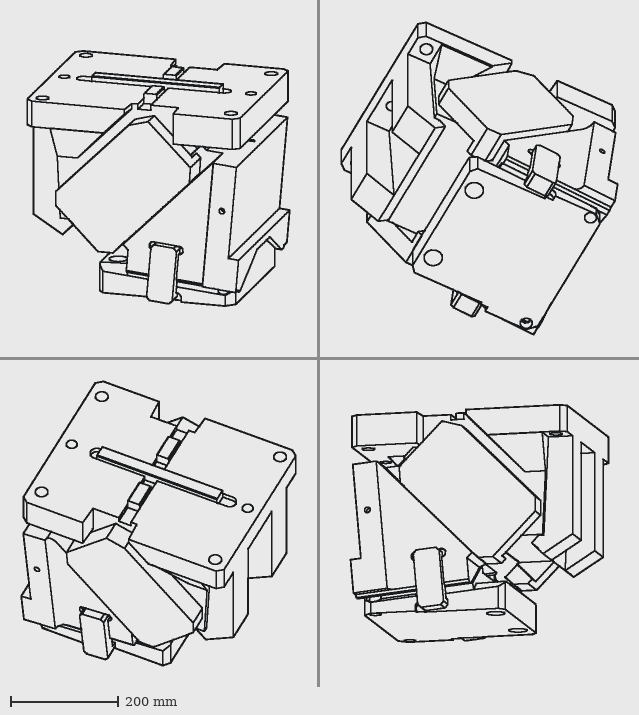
import cadquery as cq
import math


HALF_WIDTH = 165.0
OVERALL_LENGTH = 415.13
MARGIN = 50.0

GUIDE_RISE = -26.0
GIB_LOWER_RISE = -78.5
RAIL_RISE = -33.0
LEDGE_RISE = -80.0
GUIDE_END_REACH = 620.0
NECK_START_REACH = 290.0
NECK_HALF_WIDTH = 99.0
GIB_INNER_Y = 125.0

TILT = math.radians(5.0)
HEEL_HEIGHT = 64.0
CORNER_X = OVERALL_LENGTH - HEEL_HEIGHT * math.sin(TILT)
CORNER_Z = 35.6
U_DIRECTION = (math.cos(TILT), 0, -math.sin(TILT))
W_DIRECTION = (math.sin(TILT), 0, math.cos(TILT))
SECTION_PLANE = cq.Plane((CORNER_X, 0, CORNER_Z), xDir=(0, 1, 0), normal=U_DIRECTION)
PLAN_PLANE = cq.Plane((CORNER_X, 0, CORNER_Z), xDir=U_DIRECTION, normal=W_DIRECTION)

SADDLE_FOOT = (133.0, -5.0)
SADDLE_SLOPE = math.tan(math.radians(30.0))


def on_saddle(y):
    """Point of the saddle's cross-section at distance y from the middle."""
    return y, SADDLE_FOOT[1] + (SADDLE_FOOT[0] - y) * SADDLE_SLOPE


def tilted(u, w):
    """X and Z of a point given in the tilted frame."""
    x = CORNER_X + u * math.cos(TILT) + w * math.sin(TILT)
    z = CORNER_Z - u * math.sin(TILT) + w * math.cos(TILT)
    return x, z


def on_guide(rise, reach):
    """X and Z of a point given by its place on the 45 degree guide."""
    return (reach - rise) / 2, (reach + rise) / 2


def both_sides(body):
    return body.union(body.mirror("XZ"))


def centred_prism(points, half_width):
    """Side outline extruded across the middle of the unit."""
    return cq.Workplane("XZ").polyline(points).close().extrude(half_width, both=True)


def outer_prisms(points, inner_y, outer_y):
    """Side outline extruded between two distances on both sides of the middle."""
    front = cq.Workplane("XZ", origin=(0, -inner_y, 0)).polyline(points).close()
    return both_sides(front.extrude(outer_y - inner_y))


def symmetric_section(half_points, start_u, end_u):
    """Cross-section given by its +Y half, extruded along u."""
    mirrored = [(-y, w) for y, w in reversed(half_points)]
    plane = cq.Workplane(SECTION_PLANE).workplane(offset=start_u)
    return plane.polyline(half_points + mirrored).close().extrude(end_u - start_u)


def vertical_holes(places, diameter, top):
    return cq.Workplane("XY").pushPoints(places).circle(diameter / 2).extrude(top)


PLATE_TOP = 374.0
PLATE_BOTTOM = 324.0
THICK_PLATE_BOTTOM = 315.0
PLATE_LENGTH = 415.0
PLATE_CHAMFER_X = 12.0
PLATE_CHAMFER_Y = 10.0

WEB_BOTTOM = 137.5
WEB_TOP_X = 46.5
HOOK_TIP = (57.0, 102.5)
HOOK_NOSE = (78.7, 124.0)
HOOK_ROOT_X = 66.0
COLUMN_INNER_Y = 51.0
COLUMN_OUTER_Y = 115.0

GUSSET_TOP_Y = 162.0
GUSSET_LOW_Z = 258.0
NOTCH_RISE = 169.0
NOTCH_LEFT_X = 195.0
NOTCH_RIGHT_X = 285.5
NOTCH_DRAFT = 3.3

GIB_OUTLINE = [
    (141.0, 91.5), (59.2, 174.0), (59.2, 202.0), (201.0, 343.8),
    (238.7, 354.3), (321.3, 271.7), (319.0, 319.0 + GIB_LOWER_RISE),
    (91.5 - GIB_LOWER_RISE, 91.5),
]

RIDGE_START_X = 334.0
RIDGE_DEPTH = 19.0

KEY_HEIGHT = 10.0
KEYWAY_DEPTH = 10.0
KEY_WIDTH = 25.0
KEY_CHAMFER = 1.5
LONG_SLOT_START = 50.0
LONG_SLOT_END = 350.0
LONG_KEY_START = 83.0
LONG_KEY_END = 331.5
CROSS_SLOT_X = 219.5
CROSS_KEY_LENGTH = 50.0
CROSS_KEY_Y = 62.5

BOLT_DIAMETER = 23.5
DOWEL_DIAMETER = 20.0
LEFT_HOLE_X = 25.5
LEFT_BOLT_Y = 140.0
RIGHT_HOLE_X = 389.5
RIGHT_BOLT_Y = 130.0


def top_plate():
    step_x = NOTCH_RIGHT_X
    outline = [
        (0, PLATE_TOP), (PLATE_LENGTH, PLATE_TOP), (PLATE_LENGTH, THICK_PLATE_BOTTOM),
        (step_x, THICK_PLATE_BOTTOM), (step_x, PLATE_BOTTOM), (0, PLATE_BOTTOM),
    ]
    half_cut = HALF_WIDTH - PLATE_CHAMFER_Y
    corner = PLATE_LENGTH - PLATE_CHAMFER_X
    plan = [
        (PLATE_CHAMFER_X, -HALF_WIDTH), (corner, -HALF_WIDTH),
        (PLATE_LENGTH, -half_cut), (PLATE_LENGTH, half_cut),
        (corner, HALF_WIDTH), (PLATE_CHAMFER_X, HALF_WIDTH), (0, half_cut), (0, -half_cut),
    ]
    footprint = cq.Workplane("XY").polyline(plan).close().extrude(PLATE_TOP)
    return centred_prism(outline, HALF_WIDTH).intersect(footprint)


def web_back_x(z):
    """X of the sloping back face of the web at height z."""
    slope = (HOOK_TIP[0] - WEB_TOP_X) / (PLATE_BOTTOM - HOOK_TIP[1])
    return WEB_TOP_X + slope * (PLATE_BOTTOM - z)


def web():
    """Central web with the guide face, its hook and the two columns."""
    core = centred_prism([
        (WEB_TOP_X, PLATE_BOTTOM), (web_back_x(WEB_BOTTOM), WEB_BOTTOM),
        (WEB_BOTTOM - GUIDE_RISE, WEB_BOTTOM), on_guide(GUIDE_RISE, GUIDE_END_REACH),
        (GUIDE_END_REACH - THICK_PLATE_BOTTOM, THICK_PLATE_BOTTOM),
        (NOTCH_RIGHT_X, PLATE_BOTTOM),
    ], GIB_INNER_Y)
    hook = centred_prism([
        HOOK_TIP, HOOK_NOSE, (HOOK_ROOT_X, WEB_BOTTOM),
        (HOOK_ROOT_X, PLATE_BOTTOM), (WEB_TOP_X, PLATE_BOTTOM),
    ], COLUMN_OUTER_Y)
    columns = outer_prisms([
        (0, PLATE_BOTTOM), (0, WEB_BOTTOM), HOOK_TIP, (WEB_TOP_X, PLATE_BOTTOM),
    ], COLUMN_INNER_Y, COLUMN_OUTER_Y)
    return core.union(hook).union(columns)


def gussets():
    """Slanted blocks widening the web towards the plate."""
    side = outer_prisms([
        (web_back_x(GUSSET_LOW_Z), GUSSET_LOW_Z), (WEB_TOP_X, PLATE_BOTTOM),
        (PLATE_BOTTOM - NOTCH_RISE, PLATE_BOTTOM), (GUSSET_LOW_Z - NOTCH_RISE, GUSSET_LOW_Z),
    ], GIB_INNER_Y, GUSSET_TOP_Y)
    slope = [
        (-GIB_INNER_Y, GUSSET_LOW_Z), (-GUSSET_TOP_Y, PLATE_BOTTOM),
        (GUSSET_TOP_Y, PLATE_BOTTOM), (GIB_INNER_Y, GUSSET_LOW_Z),
    ]
    return side.intersect(cq.Workplane("YZ").polyline(slope).close().extrude(PLATE_LENGTH))


def side_notches():
    """Drafted openings that leave room around the gib plates."""
    top = PLATE_TOP + MARGIN
    outline = [
        (NOTCH_LEFT_X, top), (NOTCH_LEFT_X, NOTCH_LEFT_X + NOTCH_RISE), (-NOTCH_RISE, 0),
        (NOTCH_RIGHT_X, 0), (NOTCH_RIGHT_X, top),
    ]
    front = cq.Workplane("XZ", origin=(0, -GIB_INNER_Y, 0)).polyline(outline).close()
    return both_sides(front.extrude(HALF_WIDTH - GIB_INNER_Y, taper=-NOTCH_DRAFT))


def gib_plates():
    """Side plates with an inner rail along their lower edge."""
    plates = outer_prisms(GIB_OUTLINE, GIB_INNER_Y, HALF_WIDTH)
    rail_band = [
        on_guide(RAIL_RISE, 0), on_guide(RAIL_RISE, GUIDE_END_REACH),
        on_guide(GIB_LOWER_RISE, GUIDE_END_REACH), on_guide(GIB_LOWER_RISE, 0),
    ]
    rails = outer_prisms(GIB_OUTLINE, NECK_HALF_WIDTH, GIB_INNER_Y)
    return plates.union(rails.intersect(centred_prism(rail_band, GIB_INNER_Y)))


def underside_ridge():
    return centred_prism([
        (RIDGE_START_X, THICK_PLATE_BOTTOM),
        (RIDGE_START_X + 2 * RIDGE_DEPTH, THICK_PLATE_BOTTOM),
        (RIDGE_START_X + RIDGE_DEPTH, THICK_PLATE_BOTTOM - RIDGE_DEPTH),
    ], COLUMN_INNER_Y)


def keyways():
    floor = cq.Workplane("XY", origin=(0, 0, PLATE_TOP - KEYWAY_DEPTH))
    slot_length = LONG_SLOT_END - LONG_SLOT_START
    slot_middle = (LONG_SLOT_START + LONG_SLOT_END) / 2
    long_slot = floor.center(slot_middle, 0).slot2D(slot_length, KEY_WIDTH).extrude(KEYWAY_DEPTH)
    cross_slot = floor.center(CROSS_SLOT_X, 0).rect(KEY_WIDTH, 2 * HALF_WIDTH).extrude(KEYWAY_DEPTH)
    return long_slot.union(cross_slot)


def keys():
    height = KEYWAY_DEPTH + KEY_HEIGHT
    floor = cq.Workplane("XY", origin=(0, 0, PLATE_TOP - KEYWAY_DEPTH))
    long_key = floor.center((LONG_KEY_START + LONG_KEY_END) / 2, 0)
    long_key = long_key.rect(LONG_KEY_END - LONG_KEY_START, KEY_WIDTH).extrude(height)
    long_key = long_key.faces(">Z").edges("|X").chamfer(KEY_CHAMFER)
    cross_key = floor.center(CROSS_SLOT_X, -CROSS_KEY_Y).rect(KEY_WIDTH, CROSS_KEY_LENGTH).extrude(height)
    cross_key = cross_key.faces(">Z").edges("|Y").chamfer(KEY_CHAMFER)
    return long_key.union(both_sides(cross_key))


def holder_holes():
    bolts = [
        (LEFT_HOLE_X, -LEFT_BOLT_Y), (LEFT_HOLE_X, LEFT_BOLT_Y),
        (RIGHT_HOLE_X, -RIGHT_BOLT_Y), (RIGHT_HOLE_X, RIGHT_BOLT_Y),
    ]
    dowels = [(LEFT_HOLE_X, 0), (RIGHT_HOLE_X, 0)]
    bolt_holes = vertical_holes(bolts, BOLT_DIAMETER, PLATE_TOP)
    return bolt_holes.union(vertical_holes(dowels, DOWEL_DIAMETER, PLATE_TOP))


def make_holder():
    body = top_plate().union(web()).union(gussets())
    body = body.cut(side_notches()).union(gib_plates()).union(underside_ridge())
    return body.cut(holder_holes()).cut(keyways()).union(keys())


SLIDER_TOP = 244.0
SLIDER_START = -219.0
FACE_U = -20.0
CHEEK_HALF_WIDTH = 149.0
CHEEK_FILLET = 16.0
CHEEK_FILLET_START = -81.5
SOLE_DEPTH = 5.0
CEILING_HALF_WIDTH = 41.0

STRAP_START = -171.0
STRAP_WIDTH = 50.0
STRAP_BOTTOM = -45.0
STRAP_TOP = 65.0
STRAP_CHAMFER = 6.0
RECESS_RADIUS = 8.0
STRAP_INNER_Y = 142.0
STRAP_END = STRAP_START + STRAP_WIDTH
TOE_INNER_Y = 132.0
TOE_TOP = -29.0

SIDE_HOLE_X = 382.5
SIDE_HOLE_Z = 192.5
TOP_HOLE_U = -40.0
THREAD_DIAMETER = 10.5
THREAD_DEPTH = 15.0


def tilted_bar(start_u, end_u, bottom, top, inner_y, outer_y):
    corners = [(start_u, bottom), (end_u, bottom), (end_u, top), (start_u, top)]
    return outer_prisms([tilted(u, w) for u, w in corners], inner_y, outer_y)


def slider_block():
    """Wedge under the ledge, wider at the mounting face."""
    start_x, start_z = tilted(SLIDER_START, 0)
    start_height = (NECK_START_REACH - start_x - start_z) / (math.cos(TILT) + math.sin(TILT))
    top_x, top_z = tilted(0, SLIDER_TOP)
    ledge_u = (top_z - top_x - LEDGE_RISE) / (math.cos(TILT) + math.sin(TILT))
    profile = [
        tilted(SLIDER_START, 0), tilted(0, 0), tilted(0, HEEL_HEIGHT),
        tilted(FACE_U, HEEL_HEIGHT), tilted(FACE_U, SLIDER_TOP), tilted(ledge_u, SLIDER_TOP),
        on_guide(LEDGE_RISE, NECK_START_REACH), tilted(SLIDER_START, start_height),
    ]
    fillet_end = CHEEK_FILLET_START + CHEEK_FILLET
    offset = CHEEK_FILLET * math.sqrt(0.5)
    arc_middle = (CHEEK_FILLET_START + offset, HALF_WIDTH - offset)
    far_u = SLIDER_START - MARGIN
    plan = (
        cq.Workplane(PLAN_PLANE)
        .moveTo(far_u, CHEEK_HALF_WIDTH)
        .lineTo(CHEEK_FILLET_START, CHEEK_HALF_WIDTH)
        .threePointArc(arc_middle, (fillet_end, HALF_WIDTH))
        .lineTo(0, HALF_WIDTH)
        .lineTo(0, -HALF_WIDTH)
        .lineTo(fillet_end, -HALF_WIDTH)
        .threePointArc((arc_middle[0], -arc_middle[1]), (CHEEK_FILLET_START, -CHEEK_HALF_WIDTH))
        .lineTo(far_u, -CHEEK_HALF_WIDTH)
        .close()
        .extrude(SLIDER_TOP)
    )
    return centred_prism(profile, HALF_WIDTH).intersect(plan)


def slider_neck():
    """Raised middle between the gib rails, up to the guide face."""
    top_x, top_z = tilted(0, SLIDER_TOP)
    end_u = (GUIDE_END_REACH - top_x - top_z) / (math.cos(TILT) - math.sin(TILT))
    return centred_prism([
        on_guide(LEDGE_RISE, NECK_START_REACH), on_guide(GUIDE_RISE, NECK_START_REACH),
        on_guide(GUIDE_RISE, GUIDE_END_REACH), tilted(end_u, SLIDER_TOP),
        tilted(FACE_U, SLIDER_TOP),
    ], NECK_HALF_WIDTH)


def slider_sole():
    half = [(CHEEK_HALF_WIDTH - SOLE_DEPTH, -SOLE_DEPTH), (CHEEK_HALF_WIDTH, 0)]
    return symmetric_section(half, SLIDER_START, 0)


def strap_recesses():
    """Round reliefs beside the upper corners of the straps."""
    centre_w = STRAP_TOP - RECESS_RADIUS
    centres = [tilted(STRAP_START, centre_w), tilted(STRAP_END, centre_w)]
    front = cq.Workplane("XZ", origin=(0, -STRAP_INNER_Y, 0)).pushPoints(centres)
    return both_sides(front.circle(RECESS_RADIUS).extrude(HALF_WIDTH - STRAP_INNER_Y))


def straps():
    """Return straps, each with a toe that reaches into a pocket of the driver."""
    bars = tilted_bar(STRAP_START, STRAP_END, STRAP_BOTTOM, STRAP_TOP, TOE_INNER_Y, HALF_WIDTH)
    bars = bars.edges("|Y").chamfer(STRAP_CHAMFER)
    above_toes = tilted_bar(STRAP_START, STRAP_END, TOE_TOP, STRAP_TOP, TOE_INNER_Y, STRAP_INNER_Y)
    return bars.cut(above_toes)


def threaded_holes():
    """Blind holes in both sides and in the sloping top."""
    front = cq.Workplane("XZ", origin=(SIDE_HOLE_X, THREAD_DEPTH - HALF_WIDTH, SIDE_HOLE_Z))
    side_holes = both_sides(front.circle(THREAD_DIAMETER / 2).extrude(THREAD_DEPTH))
    top = cq.Workplane(PLAN_PLANE).workplane(offset=SLIDER_TOP - THREAD_DEPTH).center(TOP_HOLE_U, 0)
    return side_holes.union(top.circle(THREAD_DIAMETER / 2).extrude(THREAD_DEPTH))


def saddle_groove():
    """Roof-shaped channel that rides on the driver."""
    half = [(SADDLE_FOOT[0], -MARGIN), SADDLE_FOOT, on_saddle(CEILING_HALF_WIDTH)]
    return symmetric_section(half, SLIDER_START - MARGIN, MARGIN)


def make_slider():
    body = slider_block().union(slider_neck()).union(slider_sole()).cut(saddle_groove())
    return body.cut(strap_recesses()).cut(threaded_holes()).union(straps())


DRIVER_START_X = 129.6
DRIVER_END_X = 398.0
PAD_TOP = 54.5
DRIVER_HALF_WIDTH = 142.0
PAD_HALF_WIDTH = 128.0
SIDE_TOP = -17.0
PAD_SHOULDER = (100.0, 2.6)
BASE_SHOULDER = (110.0, 1.5)
SADDLE_START = -222.0
SADDLE_UNDERCUT = (PAD_HALF_WIDTH, SIDE_TOP)
RIDGE_HALF_WIDTH = 46.0
GROOVE_FLOOR = (41.0, 32.0)
WIDE_START = -125.0
START_CHAMFER_X = 10.0
START_CHAMFER_Y = 12.0
END_CHAMFER = 16.0

TOE_POCKET_END = -110.0
TOE_POCKET_RADIUS = 10.0

PAD_BOLT = (156.0, 83.0)
PAD_BOLT_DIAMETER = 34.0
END_HOLE = (376.0, 130.0)
END_HOLE_DIAMETER = 22.0


def driver_stage(half_width, shoulder, start_u, end_u):
    """Length of the base with sloping upper edges."""
    half = [(half_width, -2 * MARGIN), (half_width, SIDE_TOP), shoulder]
    return symmetric_section(half, start_u, end_u)


def driver_footprint():
    start_y = PAD_HALF_WIDTH - START_CHAMFER_Y
    end_y = DRIVER_HALF_WIDTH - END_CHAMFER
    chamfer_x = DRIVER_START_X + START_CHAMFER_X
    half = [
        (DRIVER_START_X, start_y), (chamfer_x, PAD_HALF_WIDTH),
        (chamfer_x, DRIVER_HALF_WIDTH), (DRIVER_END_X - END_CHAMFER, DRIVER_HALF_WIDTH),
        (DRIVER_END_X, end_y),
    ]
    mirrored = [(x, -y) for x, y in reversed(half)]
    return cq.Workplane("XY").polyline(half + mirrored).close()


def toe_pockets():
    pocket = tilted_bar(
        STRAP_START - MARGIN, TOE_POCKET_END, -2 * MARGIN, TOE_TOP, TOE_INNER_Y, DRIVER_HALF_WIDTH)
    return pocket.edges("|Y").edges(">X").fillet(TOE_POCKET_RADIUS)


def saddle():
    """Roof with undercut sides and a groove along its ridge."""
    half = [SADDLE_UNDERCUT, SADDLE_FOOT, on_saddle(RIDGE_HALF_WIDTH), GROOVE_FLOOR]
    return symmetric_section(half, SADDLE_START, MARGIN)


def make_driver():
    past_start = SLIDER_START - 2 * MARGIN
    narrow = driver_stage(PAD_HALF_WIDTH, PAD_SHOULDER, past_start, WIDE_START)
    wide = driver_stage(DRIVER_HALF_WIDTH, BASE_SHOULDER, WIDE_START, MARGIN)
    base = narrow.union(wide).intersect(driver_footprint().extrude(PAD_TOP))
    roof = saddle().intersect(driver_footprint().extrude(PLATE_TOP))
    pad_bolts = [(PAD_BOLT[0], side * PAD_BOLT[1]) for side in (-1, 1)]
    end_holes = [(END_HOLE[0], side * END_HOLE[1]) for side in (-1, 1)]
    body = base.union(roof).cut(toe_pockets())
    body = body.cut(vertical_holes(pad_bolts, PAD_BOLT_DIAMETER, PLATE_TOP))
    return body.cut(vertical_holes(end_holes, END_HOLE_DIAMETER, PLATE_TOP))


holder = make_holder()
slider = make_slider()
driver = make_driver()
result = cq.Compound.makeCompound([body.solids().val() for body in (holder, slider, driver)])